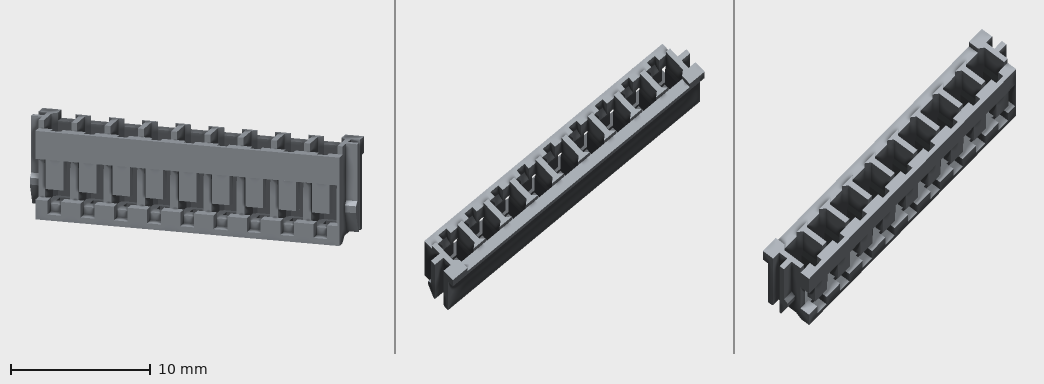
import cadquery as cq


CELL_COUNT = 9
PITCH = 2.5
CELL_WIDTH = 2.05
CELL_FRONT = 0.8
CELL_BACK = 2.96
CELL_FLOOR = 1.03
CELL_BACK_WIDTH = 1.32
CORNER_DEPTH = 0.32
TAPER_BOTTOM = 3.8
TAPER_INSET = 0.085

OVERALL_LENGTH = 24.5
BODY_LENGTH = 22.83
BODY_BACK = 3.28
BODY_TOP = 7.2
BODY_UNDERSIDE = 0.45
FOOT_DEPTH = 0.74
FOOT_SLOPE_END = 1.22

BEAM_TOP = 6.6
BEAM_BOTTOM = 4.5
SILL_TOP = 1.47
SILL_NOTCH_WIDTH = 1.03
TONGUE_WIDTH = CELL_BACK_WIDTH
TONGUE_FRONT = 0.07
TONGUE_BOTTOM_FRONT = 2.3
TONGUE_BOTTOM_BACK = 2.2
END_WEB_THICKNESS = 0.12
GROOVE_FRONT = 0.35
GROOVE_FLOOR_FALL = CELL_FRONT - GROOVE_FRONT

HOLE_WIDTH = 0.75
HOLE_FRONT = 1.76
HOLE_BACK = 2.57

FLANGE_LENGTH = 24.15
FLANGE_BACK = 3.8
FLANGE_BOTTOM = 5.98
LEDGE_TOP = BEAM_TOP
RAIL_FRONT = 2.82
RAIL_CHAMFER = 0.12

RIB_BACK = 2.05
RIB_FRONT = 1.65
LATCH_FRONT = 1.32
LATCH_SLOPE_TOP = 2.96
LATCH_TOP = 2.67
LATCH_BOTTOM = 2.15
RIB_BOTTOM = 0.6
RIB_TIP_FRONT = 1.9

cell_centres = [(i - (CELL_COUNT - 1) / 2) * PITCH for i in range(CELL_COUNT)]


def box(x_range, y_range, z_range):
    """Block between the given limits along X, Y and Z."""
    lows, highs = zip(x_range, y_range, z_range)
    sizes = [high - low for low, high in zip(lows, highs)]
    return cq.Workplane("XY").box(*sizes, centered=False).translate(lows)


def span(centre, width):
    """Limits of a width laid out evenly about a centre."""
    return centre - width / 2, centre + width / 2


def side_prism(points, x_range):
    """Outline in (Y, Z) extruded between two X positions."""
    start, end = x_range
    outline = cq.Workplane("YZ", origin=(start, 0, 0)).polyline(points).close()
    return outline.extrude(end - start)


def make_body():
    """Solid block with a foot along the front and the beam step at the top."""
    profile = [
        (0, 0),
        (FOOT_DEPTH, 0),
        (FOOT_SLOPE_END, BODY_UNDERSIDE),
        (BODY_BACK, BODY_UNDERSIDE),
        (BODY_BACK, BODY_TOP),
        (CELL_FRONT, BODY_TOP),
        (CELL_FRONT, BEAM_TOP),
        (0, BEAM_TOP),
    ]
    return side_prism(profile, span(0, BODY_LENGTH))


def make_end_rails():
    """Back flange and end rails as one stepped profile; the body fills the middle."""
    profile = [
        (RAIL_FRONT, BODY_TOP),
        (RAIL_FRONT, BODY_UNDERSIDE + RAIL_CHAMFER),
        (RAIL_FRONT + RAIL_CHAMFER, BODY_UNDERSIDE),
        (BODY_BACK, BODY_UNDERSIDE),
        (BODY_BACK, FLANGE_BOTTOM),
        (FLANGE_BACK, FLANGE_BOTTOM),
        (FLANGE_BACK, BODY_TOP),
    ]
    return side_prism(profile, span(0, FLANGE_LENGTH))


def make_latch_ribs():
    """Ribs with a latch bump on both ends; the body fills the middle."""
    profile = [
        (RIB_BACK, BODY_TOP),
        (RIB_FRONT, BODY_TOP),
        (RIB_FRONT, LATCH_SLOPE_TOP),
        (LATCH_FRONT, LATCH_TOP),
        (LATCH_FRONT, LATCH_BOTTOM),
        (RIB_TIP_FRONT, RIB_BOTTOM),
        (RIB_BACK, RIB_BOTTOM),
    ]
    return side_prism(profile, span(0, OVERALL_LENGTH))


def make_cell():
    """Cell cavity: chamfered back corners in plan, sides closing in just below the beam."""
    half = CELL_WIDTH / 2
    back_half = CELL_BACK_WIDTH / 2
    plan = (
        cq.Workplane("XY", origin=(0, 0, CELL_FLOOR))
        .polyline([
            (-half, CELL_FRONT),
            (half, CELL_FRONT),
            (half, CELL_BACK - CORNER_DEPTH),
            (back_half, CELL_BACK),
            (-back_half, CELL_BACK),
            (-half, CELL_BACK - CORNER_DEPTH),
        ])
        .close()
        .extrude(BODY_TOP - CELL_FLOOR)
    )
    low_half = half - TAPER_INSET
    tapered = (
        cq.Workplane("XZ")
        .polyline([
            (-low_half, CELL_FLOOR),
            (low_half, CELL_FLOOR),
            (low_half, TAPER_BOTTOM),
            (half, BEAM_BOTTOM),
            (half, BODY_TOP),
            (-half, BODY_TOP),
            (-half, BEAM_BOTTOM),
            (-low_half, TAPER_BOTTOM),
        ])
        .close()
        .extrude(-CELL_BACK)
    )
    return plan.intersect(tapered)


def make_tongue():
    """Tongue hanging from the beam, with a slanted lower end."""
    profile = [
        (TONGUE_FRONT, TONGUE_BOTTOM_FRONT),
        (CELL_FRONT, TONGUE_BOTTOM_BACK),
        (CELL_FRONT, BEAM_BOTTOM),
        (TONGUE_FRONT, BEAM_BOTTOM),
    ]
    return side_prism(profile, span(0, TONGUE_WIDTH))


def make_groove():
    """Groove in the back of the beam whose floor slopes down into the cell."""
    profile = [
        (GROOVE_FRONT, BEAM_TOP),
        (GROOVE_FRONT, BEAM_BOTTOM + GROOVE_FLOOR_FALL),
        (CELL_FRONT, BEAM_BOTTOM),
        (CELL_FRONT, BEAM_TOP),
    ]
    return side_prism(profile, span(0, HOLE_WIDTH))


def make_sill_notch():
    """Notch through the sill in front of a cell."""
    return box(span(0, SILL_NOTCH_WIDTH), (0, CELL_FRONT), (BODY_UNDERSIDE, SILL_TOP))


def make_contact_hole():
    """Square hole from the cell floor out through the underside."""
    return box(span(0, HOLE_WIDTH), (HOLE_FRONT, HOLE_BACK), (BODY_UNDERSIDE, CELL_FLOOR))


result = make_body().union(make_end_rails()).union(make_latch_ribs())

ledge_length = cell_centres[-1] - cell_centres[0] + CELL_BACK_WIDTH
result = result.cut(box(span(0, ledge_length), (CELL_BACK, FLANGE_BACK), (LEDGE_TOP, BODY_TOP)))

opening_x = (-BODY_LENGTH / 2, BODY_LENGTH / 2 - END_WEB_THICKNESS)
result = result.cut(box(opening_x, (0, CELL_FRONT), (SILL_TOP, BEAM_BOTTOM)))

cell_cut = make_cell().union(make_groove()).union(make_sill_notch()).union(make_contact_hole())
tongue = make_tongue()
for centre in cell_centres:
    result = result.cut(cell_cut.translate((centre, 0, 0)))
    result = result.union(tongue.translate((centre, 0, 0)))